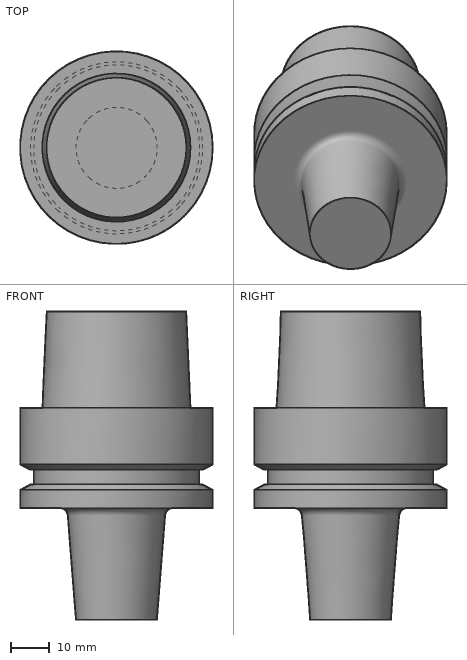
import cadquery as cq
import math

TOTAL_HEIGHT = 80.0
TAPER_LENGTH = 25.0
FLANGE_HEIGHT = 26.0
FLANGE_TOP = TOTAL_HEIGHT - TAPER_LENGTH
FLANGE_BOTTOM = FLANGE_TOP - FLANGE_HEIGHT

FLANGE_RADIUS = 50.0 / 2
GROOVE_RADIUS = 43.0 / 2
GROOVE_SHOULDER_RADIUS = 22.3
LOWER_RIM_HEIGHT = 4.7
GROOVE_MOUTH_HEIGHT = 6.6
GROOVE_FLOOR_HEIGHT = 3.8
GROOVE_MOUTH_BOTTOM = FLANGE_BOTTOM + LOWER_RIM_HEIGHT
GROOVE_MOUTH_TOP = GROOVE_MOUTH_BOTTOM + GROOVE_MOUTH_HEIGHT
GROOVE_SIDE_HEIGHT = (GROOVE_MOUTH_HEIGHT - GROOVE_FLOOR_HEIGHT) / 2
GROOVE_FLOOR_BOTTOM = GROOVE_MOUTH_BOTTOM + GROOVE_SIDE_HEIGHT
GROOVE_FLOOR_TOP = GROOVE_MOUTH_TOP - GROOVE_SIDE_HEIGHT

NOSE_END_RADIUS = 21.0 / 2
NOSE_HALF_ANGLE = 4.5
NOSE_FILLET_RADIUS = 2.0
NOSE_ROOT_RADIUS = NOSE_END_RADIUS + FLANGE_BOTTOM * math.tan(math.radians(NOSE_HALF_ANGLE))

TAPER_BASE_RADIUS = 38.5 / 2
TAPER_TOP_RADIUS = 36.2 / 2


def revolve_profile(points):
    """Turn a closed radius-height outline about the Z axis."""
    return cq.Workplane("XZ").polyline(points).close().revolve(360, (0, 0), (0, 1))


def make_holder():
    """Grooved flange and conical nose in one piece, with a fillet where they meet."""
    blank = revolve_profile([
        (0, 0),
        (NOSE_END_RADIUS, 0),
        (NOSE_ROOT_RADIUS, FLANGE_BOTTOM),
        (FLANGE_RADIUS, FLANGE_BOTTOM),
        (FLANGE_RADIUS, GROOVE_MOUTH_BOTTOM),
        (GROOVE_SHOULDER_RADIUS, GROOVE_FLOOR_BOTTOM),
        (GROOVE_RADIUS, GROOVE_FLOOR_BOTTOM),
        (GROOVE_RADIUS, GROOVE_FLOOR_TOP),
        (GROOVE_SHOULDER_RADIUS, GROOVE_FLOOR_TOP),
        (FLANGE_RADIUS, GROOVE_MOUTH_TOP),
        (FLANGE_RADIUS, FLANGE_TOP),
        (0, FLANGE_TOP),
    ])
    nose_root = cq.selectors.RadiusNthSelector(1)
    return blank.edges("%CIRCLE").edges(nose_root).fillet(NOSE_FILLET_RADIUS)


def make_taper():
    """Conical spindle taper standing on the flat top of the flange."""
    return revolve_profile([
        (0, FLANGE_TOP),
        (TAPER_BASE_RADIUS, FLANGE_TOP),
        (TAPER_TOP_RADIUS, TOTAL_HEIGHT),
        (0, TOTAL_HEIGHT),
    ])


holder = make_holder()
taper = make_taper()

result = cq.Compound.makeCompound([holder.val(), taper.val()])